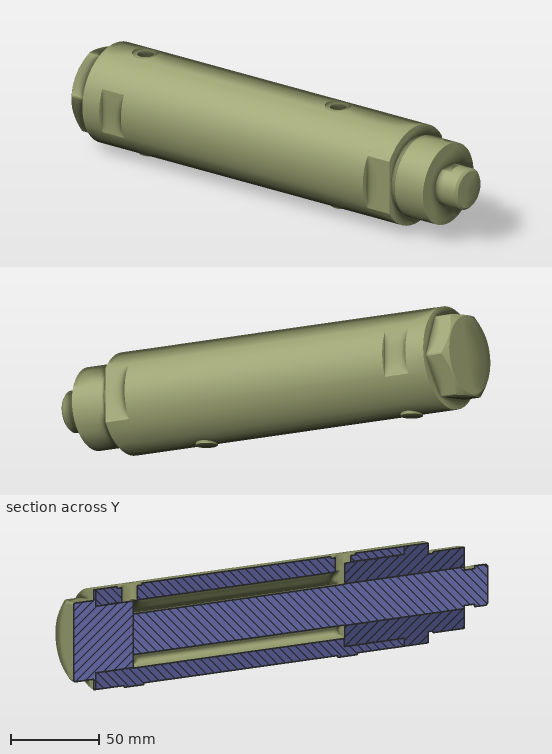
import cadquery as cq
import math

HEX_START = 0.0
FLANGE_START = 13.0
TUBE_START = 14.5
CAP_PLUG_END = 38.2
GLAND_PLUG_START = 172.3
TUBE_END = 210.5
GLAND_HEAD_END = 225.8
COLLAR_START = 228.0
COLLAR_END = 248.7
ROD_END = 263.5

TUBE_RADIUS = 29.5
BORE_RADIUS = 19.8
GLAND_SEAT_RADIUS = 24.5
ROD_RADIUS = 12.0
COLLAR_RADIUS = 24.0
UNDERCUT_RADIUS = 23.0

HEX_ACROSS_FLATS = 46.0
HEX_CORNER_RADIUS = 26.3
HEX_FACE_RADIUS = 22.5
HEX_CHAMFER_LENGTH = 3.0
HEX_TURN = -8.0

TUBE_FLAT_START = 24.8
TUBE_FLAT_LENGTH = 15.3
TUBE_ACROSS_FLATS = 53.0
GLAND_ACROSS_FLATS = 49.8
ROD_FLAT_LENGTH = 6.3
ROD_ACROSS_FLATS = 21.0

PORT_POSITIONS = (35.5, 171.2)
PORT_RADIUS = 4.7
SPOT_FACE_RADIUS = 7.6
SPOT_FACE_HEIGHT = 28.5

BOSS_OFFSET = 3.0
BOSS_RADIUS = 6.3
BOSS_REACH = 30.5

COLLAR_CHAMFER = 0.8
ROD_CHAMFER = 1.3


def cylinder(start, end, radius):
    """Solid cylinder on the X axis between two X positions."""
    return cq.Workplane("YZ").workplane(offset=start).circle(radius).extrude(end - start)


def flat_cutters(start, length, across_flats):
    """Two blocks whose inner faces leave a pair of flats facing +Y and -Y."""
    depth = TUBE_RADIUS
    centre = (across_flats + depth) / 2
    return (
        cq.Workplane("XY")
        .pushPoints([(start + length / 2, centre), (start + length / 2, -centre)])
        .box(length, depth, 3 * TUBE_RADIUS)
    )


def vertical_cylinder(x, bottom, top, radius):
    """Solid cylinder parallel to Z centred above or below the X axis."""
    return cq.Workplane("XY").workplane(offset=bottom).center(x, 0).circle(radius).extrude(top - bottom)


def build_cap():
    """End cap: chamfered hexagon, flange and a plug that fills the bore."""
    hexagon = (
        cq.Workplane("YZ")
        .polygon(6, HEX_ACROSS_FLATS / math.cos(math.pi / 6))
        .extrude(FLANGE_START)
        .rotate((0, 0, 0), (1, 0, 0), HEX_TURN)
    )
    envelope = (
        cq.Workplane("XY")
        .moveTo(HEX_START, 0)
        .lineTo(HEX_START, HEX_FACE_RADIUS)
        .lineTo(HEX_START + HEX_CHAMFER_LENGTH, HEX_CORNER_RADIUS)
        .lineTo(FLANGE_START, HEX_CORNER_RADIUS)
        .lineTo(FLANGE_START, 0)
        .close()
        .revolve(360, (0, 0, 0), (1, 0, 0))
    )
    flange = cylinder(FLANGE_START, TUBE_START, TUBE_RADIUS)
    plug = cylinder(TUBE_START, CAP_PLUG_END, BORE_RADIUS)
    return hexagon.intersect(envelope).union(flange).union(plug)


def build_tube():
    """Tube with top ports, bosses underneath, wrench flats and a stepped bore."""
    tube = cylinder(TUBE_START, TUBE_END, TUBE_RADIUS)
    tube = tube.cut(flat_cutters(TUBE_FLAT_START, TUBE_FLAT_LENGTH, TUBE_ACROSS_FLATS))
    for x in PORT_POSITIONS:
        tube = tube.union(vertical_cylinder(x + BOSS_OFFSET, -BOSS_REACH, 0, BOSS_RADIUS))
        tube = tube.cut(vertical_cylinder(x, SPOT_FACE_HEIGHT, TUBE_RADIUS, SPOT_FACE_RADIUS))
        tube = tube.cut(vertical_cylinder(x, 0, TUBE_RADIUS, PORT_RADIUS))
    tube = tube.cut(cylinder(GLAND_PLUG_START, TUBE_END, GLAND_SEAT_RADIUS))
    return tube.cut(cylinder(TUBE_START, TUBE_END, BORE_RADIUS))


def build_gland():
    """Rod gland: plug in the seat of the tube, head with wrench flats, undercut and outer collar."""
    plug = cylinder(GLAND_PLUG_START, TUBE_END, GLAND_SEAT_RADIUS)
    head = cylinder(TUBE_END, GLAND_HEAD_END, TUBE_RADIUS)
    head = head.cut(flat_cutters(TUBE_END, GLAND_HEAD_END - TUBE_END, GLAND_ACROSS_FLATS))
    undercut = cylinder(GLAND_HEAD_END, COLLAR_START, UNDERCUT_RADIUS)
    collar = cylinder(COLLAR_START, COLLAR_END, COLLAR_RADIUS).faces("<X").chamfer(COLLAR_CHAMFER)
    gland = plug.union(head).union(undercut).union(collar)
    return gland.cut(cylinder(GLAND_PLUG_START, COLLAR_END, ROD_RADIUS))


def build_rod():
    """Piston rod with a chamfered end and flats facing +Z and -Z beside the collar."""
    rod = cylinder(CAP_PLUG_END, ROD_END, ROD_RADIUS).faces(">X").chamfer(ROD_CHAMFER)
    flats = flat_cutters(COLLAR_END, ROD_FLAT_LENGTH, ROD_ACROSS_FLATS)
    return rod.cut(flats.rotate((0, 0, 0), (1, 0, 0), 90))


cap = build_cap()
tube = build_tube()
gland = build_gland()
rod = build_rod()

result = cq.Compound.makeCompound([cap.val(), tube.val(), gland.val(), rod.val()])